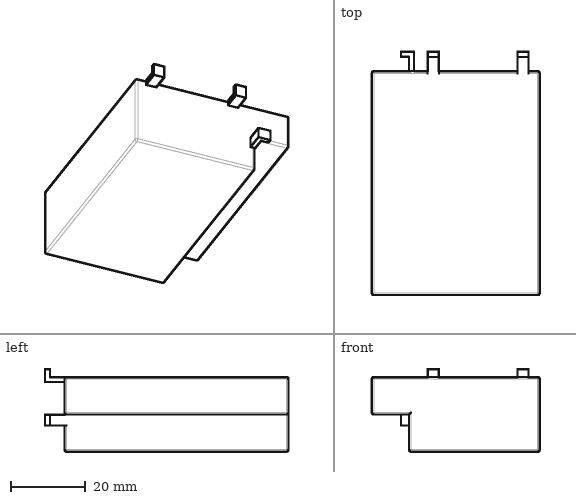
import cadquery as cq

body_width = 45.0
body_length = 60.0
body_height = 20.0
step_width = 10.0
step_height = 10.0
edge_radius = 0.6

total_length = 65.2
hook_width = 3.0
hook_thickness = 1.4
hook_rise = 2.15
hook_root = 1.3
top_hook_lefts = (15.0, 39.0)


def make_body():
    """Stepped block with every outer edge rounded and the inner corner left sharp."""
    block = (
        cq.Workplane("XY")
        .box(body_width, body_length, body_height, centered=False)
    )
    step = (
        cq.Workplane("XY")
        .box(step_width, body_length, step_height, centered=False)
    )
    inner_corner = cq.selectors.NearestToPointSelector(
        (step_width, body_length / 2, step_height)
    )
    outer_edges = cq.selectors.InverseSelector(inner_corner)
    return block.cut(step).edges(outer_edges).fillet(edge_radius)


def make_hook():
    """L-shaped hook along +Y with its tip up.

    The top left edge of its arm crosses the back face at the origin.
    """
    reach = total_length - body_length
    return (
        cq.Workplane("YZ")
        .moveTo(-hook_root, 0)
        .lineTo(reach - hook_thickness, 0)
        .lineTo(reach - hook_thickness, hook_rise)
        .lineTo(reach, hook_rise)
        .lineTo(reach, -hook_thickness)
        .lineTo(-hook_root, -hook_thickness)
        .close()
        .extrude(hook_width)
    )


result = make_body()

for left in top_hook_lefts:
    result = result.union(make_hook().translate((left, body_length, body_height)))

side_hook = (
    make_hook()
    .rotate((0, 0, 0), (0, 1, 0), -90)
    .translate((step_width, body_length, step_height - hook_width))
)
result = result.union(side_hook)